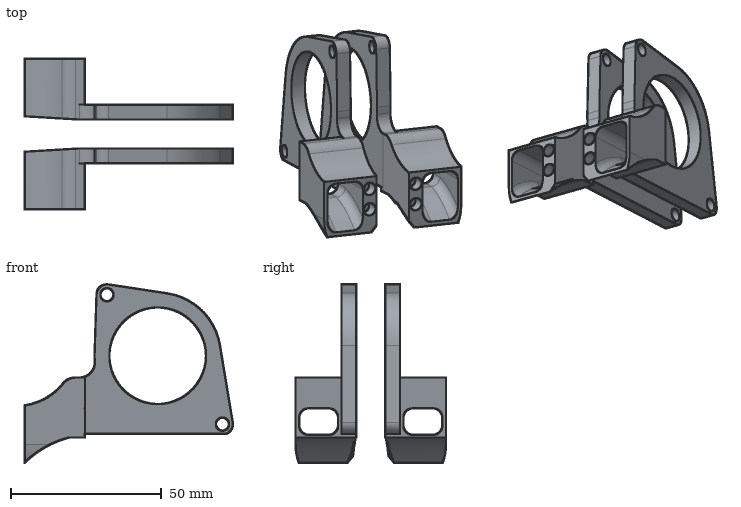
import cadquery as cq
import math


bracket_length = 69.2
bracket_height = 59.28

gap = 9.5
plate_thickness = 5.0
inner_y = gap / 2
bore_radius = 16.0
rim_width = 5.0
rim_radius = bore_radius + rim_width
lug_radius = 3.5
lug_hole_diameter = 4.25
upper_lug = (-16.85, 20.25)
lower_lug = (21.5, -22.7)
plate_bottom_z = -25.9
neck_radius = 5.0

outer_y = 25.0
block_length = 20.0
mouth_x = lower_lug[0] + lug_radius - bracket_length
block_end_x = mouth_x + block_length
block_top_z = -7.2
mouth_top_z = -16.45
mouth_bottom_z = upper_lug[1] + lug_radius - bracket_height
flat_top_length = 3.1
crest_start_x = block_end_x - flat_top_length
crest_radius = 5.3
sweep_length = 12.4
sweep_end_x = mouth_x + sweep_length
sweep_radius = 20.0
underside_z = -27.2
underside_radius = 32.0
underside_arc_length = 14.7
underside_arc_end_x = mouth_x + underside_arc_length

taper_at_mouth = 1.1
corner_start_z = -29.4
corner_radius = 17.6
bevel_width = 1.95
bevel_height = 2.3
bevel_length = 9.3
bevel_rise = 4.8

pocket_inner_y = 10.9
pocket_outer_y = 23.7
pocket_top_z = -17.5
floor_thickness = 1.0
pocket_fillet = 3.0

mouth_hole_diameter = 4.2
mouth_hole_depth = 5.0
mouth_hole_y = 8.4
mouth_hole_upper_z = -20.55
mouth_hole_spacing = 7.0
mouth_hole_count = 2

neck_z = block_top_z + neck_radius
neck_x = -math.sqrt((rim_radius + neck_radius) ** 2 - neck_z ** 2)
neck_angle = math.atan2(neck_z, neck_x)


def on_circle(center, radius, angle):
    return (center[0] + radius * math.cos(angle), center[1] + radius * math.sin(angle))


def tangent_angle(center_a, radius_a, center_b, radius_b, side):
    """Direction from either centre to its touching point on a common outer tangent."""
    dx = center_b[0] - center_a[0]
    dz = center_b[1] - center_a[1]
    swing = math.acos((radius_a - radius_b) / math.hypot(dx, dz))
    return math.atan2(dz, dx) + side * swing


def extrude_along_y(outline, start_y, end_y):
    """Extrude an outline drawn in X and Z from start_y to end_y."""
    return outline.extrude(start_y - end_y).translate((0, start_y, 0))


def make_plate():
    bore = (0, 0)
    top_angle = tangent_angle(upper_lug, lug_radius, bore, rim_radius, 1)
    left_angle = tangent_angle(upper_lug, lug_radius, bore, rim_radius, -1) + 2 * math.pi
    right_angle = tangent_angle(bore, rim_radius, lower_lug, lug_radius, 1)
    foot_angle = math.asin((plate_bottom_z - lower_lug[1]) / lug_radius)
    neck_end = (neck_x, block_top_z)
    neck_mid_angle = (neck_angle + math.pi / 2) / 2
    outline = (
        cq.Workplane("XZ")
        .moveTo(neck_x, plate_bottom_z)
        .lineTo(*neck_end)
        .threePointArc(
            on_circle((neck_x, neck_z), neck_radius, neck_mid_angle),
            on_circle(bore, rim_radius, neck_angle),
        )
        .threePointArc(
            on_circle(bore, rim_radius, (neck_angle + 2 * math.pi + left_angle) / 2),
            on_circle(bore, rim_radius, left_angle),
        )
        .lineTo(*on_circle(upper_lug, lug_radius, left_angle))
        .threePointArc(
            on_circle(upper_lug, lug_radius, (left_angle + top_angle) / 2),
            on_circle(upper_lug, lug_radius, top_angle),
        )
        .lineTo(*on_circle(bore, rim_radius, top_angle))
        .threePointArc(
            on_circle(bore, rim_radius, (top_angle + right_angle) / 2),
            on_circle(bore, rim_radius, right_angle),
        )
        .lineTo(*on_circle(lower_lug, lug_radius, right_angle))
        .threePointArc(
            on_circle(lower_lug, lug_radius, (right_angle + foot_angle) / 2),
            on_circle(lower_lug, lug_radius, foot_angle),
        )
        .close()
    )
    plate = extrude_along_y(outline, inner_y, inner_y + plate_thickness)
    bore_circle = cq.Workplane("XZ").circle(bore_radius)
    lug_circles = cq.Workplane("XZ").pushPoints([upper_lug, lower_lug]).circle(lug_hole_diameter / 2)
    for holes in (bore_circle, lug_circles):
        plate = plate.cut(extrude_along_y(holes, inner_y, inner_y + plate_thickness))
    return plate


def make_block_blank():
    crest_run = crest_start_x - sweep_end_x
    crest_drop = crest_radius - math.sqrt(crest_radius ** 2 - crest_run ** 2)
    outline = (
        cq.Workplane("XZ")
        .moveTo(mouth_x, mouth_bottom_z)
        .lineTo(mouth_x, mouth_top_z)
        .radiusArc((sweep_end_x, block_top_z - crest_drop), -sweep_radius)
        .radiusArc((crest_start_x, block_top_z), crest_radius)
        .lineTo(block_end_x, block_top_z)
        .lineTo(block_end_x, underside_z)
        .lineTo(underside_arc_end_x, underside_z)
        .radiusArc((mouth_x, mouth_bottom_z), -underside_radius)
        .close()
    )
    return extrude_along_y(outline, inner_y, outer_y)


def make_outer_corner_envelope():
    """Cross-section of the block with its lower outer corner rounded."""
    corner_drop = corner_start_z - mouth_bottom_z
    corner_inset = corner_radius - math.sqrt(corner_radius ** 2 - corner_drop ** 2)
    return (
        cq.Workplane("YZ", origin=(mouth_x, 0, 0))
        .moveTo(inner_y, block_top_z)
        .lineTo(outer_y, block_top_z)
        .lineTo(outer_y, corner_start_z)
        .radiusArc((outer_y - corner_inset, mouth_bottom_z), corner_radius)
        .lineTo(inner_y, mouth_bottom_z)
        .close()
        .extrude(block_length)
    )


def make_inner_corner_cut():
    """Triangular prism that bevels the lower inner corner and rises along the tapered side."""
    bevel_y = inner_y + taper_at_mouth
    bevel_z = mouth_bottom_z + bevel_height
    triangle = cq.Wire.makePolygon(
        [
            cq.Vector(mouth_x, bevel_y - bevel_width, bevel_z + bevel_height),
            cq.Vector(mouth_x, bevel_y - bevel_width, mouth_bottom_z - bevel_height),
            cq.Vector(mouth_x, bevel_y + 2 * bevel_width, mouth_bottom_z - bevel_height),
        ],
        close=True,
    )
    side_shift = -bevel_length * taper_at_mouth / (neck_x - mouth_x)
    direction = cq.Vector(bevel_length, side_shift, bevel_rise)
    return cq.Workplane(cq.Solid.extrudeLinear(triangle, [], direction))


def make_taper_wedge():
    return (
        cq.Workplane("XY", origin=(0, 0, mouth_bottom_z))
        .polyline([(neck_x, inner_y), (mouth_x, inner_y), (mouth_x, inner_y + taper_at_mouth)])
        .close()
        .extrude(block_top_z - mouth_bottom_z)
    )


def make_pocket():
    """Passage with a level ceiling and a floor that follows the underside."""
    chord_x = underside_arc_end_x - mouth_x
    chord_z = underside_z - mouth_bottom_z
    chord = math.hypot(chord_x, chord_z)
    sagitta_leg = math.sqrt(underside_radius ** 2 - (chord / 2) ** 2)
    center_x = (mouth_x + underside_arc_end_x) / 2 + sagitta_leg * chord_z / chord
    center_z = (mouth_bottom_z + underside_z) / 2 - sagitta_leg * chord_x / chord
    floor_radius = underside_radius + floor_thickness
    floor_z = underside_z + floor_thickness
    mouth_floor_z = center_z + math.sqrt(floor_radius ** 2 - (mouth_x - center_x) ** 2)
    floor_arc_end_x = center_x - math.sqrt(floor_radius ** 2 - (floor_z - center_z) ** 2)
    outline = (
        cq.Workplane("XZ")
        .moveTo(mouth_x, mouth_floor_z)
        .lineTo(mouth_x, pocket_top_z)
        .lineTo(block_end_x, pocket_top_z)
        .lineTo(block_end_x, floor_z)
        .lineTo(floor_arc_end_x, floor_z)
        .radiusArc((mouth_x, mouth_floor_z), -floor_radius)
        .close()
    )
    pocket = extrude_along_y(outline, pocket_inner_y, pocket_outer_y)
    return pocket.edges("(not #X) and (not |Y) and (not |Z)").fillet(pocket_fillet)


def make_mouth_holes():
    centers = [(mouth_hole_y, mouth_hole_upper_z - i * mouth_hole_spacing) for i in range(mouth_hole_count)]
    return (
        cq.Workplane("YZ", origin=(mouth_x, 0, 0))
        .pushPoints(centers)
        .circle(mouth_hole_diameter / 2)
        .extrude(mouth_hole_depth)
    )


def make_bracket():
    block = make_block_blank().intersect(make_outer_corner_envelope())
    for cutter in (make_taper_wedge(), make_inner_corner_cut(), make_pocket(), make_mouth_holes()):
        block = block.cut(cutter)
    return block.union(make_plate())


bracket = make_bracket()
mirrored_bracket = bracket.mirror("XZ")

result = cq.Compound.makeCompound([bracket.val(), mirrored_bracket.val()])